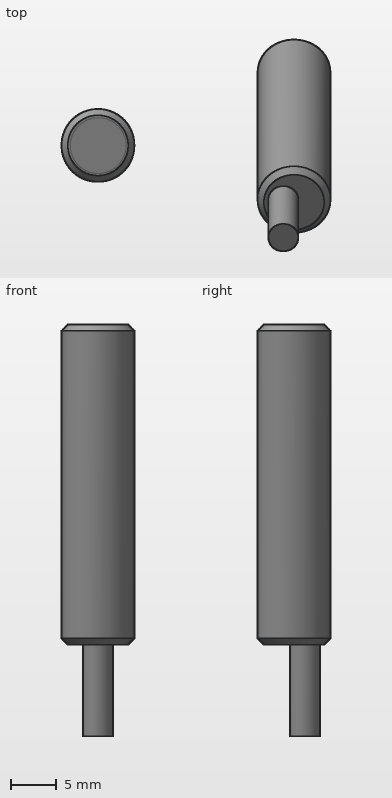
import cadquery as cq

body_diameter = 8.0
body_length = 35.0
end_chamfer = 0.7

rim_width = 0.25
insert_diameter = body_diameter - 2 * end_chamfer - 2 * rim_width
insert_depth = 1.0

cable_diameter = 3.3
cable_length = 10.0
cable_offset_y = 1.2


def make_body():
    """Solid cylinder with both end edges chamfered."""
    body = cq.Workplane("XY").circle(body_diameter / 2).extrude(body_length)
    return body.faces("<Z or >Z").edges().chamfer(end_chamfer)


def make_sensing_insert():
    """Disc whose upper face lies level with the upper end of the body."""
    upper_end = cq.Workplane("XY").workplane(offset=body_length)
    return upper_end.circle(insert_diameter / 2).extrude(-insert_depth)


def make_cable():
    """Straight round cable running down from the lower end face."""
    cable_start = cq.Workplane("XY").center(0, cable_offset_y)
    return cable_start.circle(cable_diameter / 2).extrude(-cable_length)


housing = make_body().union(make_cable())

result = housing.union(make_sensing_insert(), clean=False)